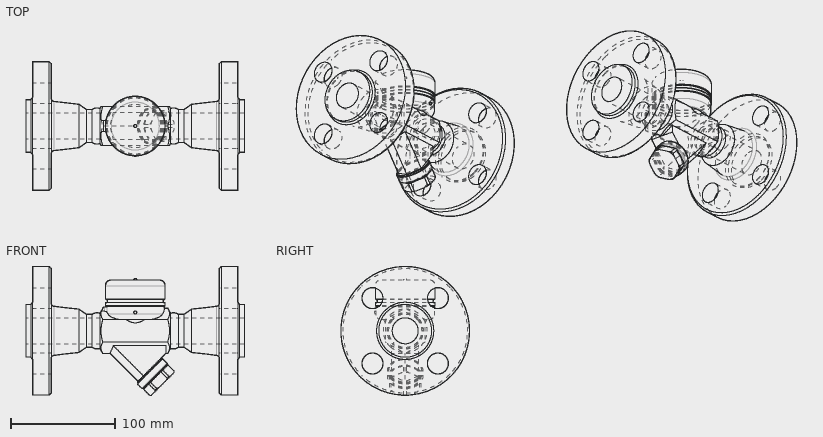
import cadquery as cq
import math

length = 210.0
end_x = length / 2
raised_face_diameter = 50.8
raised_face_height = 4.6
raised_root_diameter = 55.0
flange_diameter = 124.0
flange_outer_x = 98.7
flange_inner_x = 80.6
flange_chamfer = 2.0
hub_fillet = 2.7
hub_large_diameter = 47.5
hub_small_diameter = 42.0
hub_small_x = 54.2
pipe_diameter = 32.0
pipe_outer_x = 46.8
weld_peak_diameter = 34.9
weld_end_diameter = 34.0
weld_outer_x = 41.4
bore_diameter = 25.0
bolt_hole_diameter = 20.0
bolt_circle_diameter = 88.8
bolt_hole_count = 4
first_bolt_angle = 45.0

block_flats = 37.8
block_half_length = 34.0
block_end_radius = weld_end_diameter / 2
block_chamfer_angle = 30.0

cup_diameter = 56.0
cup_top_z = 23.5
cup_bottom_z = 10.7
cup_fillet = 5.2
tail_top_radius = 20.8
tail_bottom_radius = 17.8
tail_bottom_z = 5.9
pad_width = 10.5
pad_top_z = 22.9
pad_fillet = 2.5
dot_diameter = 3.0
side_dot_z = 17.6

cover_diameter = 57.5
cover_top_z = 49.0
cover_fillet = 5.7
cover_edge_chamfer = 0.6
cover_lip_z = 27.0
groove_root_z = 28.8
groove_root_radius = 26.9
groove_top_z = 30.0
groove_mouth_radius = 27.7

branch_angle = 45.0
branch_axis_x = -24.8
branch_length = 53.8
branch_flats = 26.0
branch_wall_x = 29.6
gasket_diameter = 32.0
gasket_thickness = 1.3
collar_diameter = 34.5
collar_thickness = 6.7
collar_fillet = 0.6
neck_diameter = 29.5
neck_thickness = 1.0
plug_flats = 30.0
plug_turned_diameter = 33.2
plug_hex_height = 9.5
plug_chamfer = 0.8

HEX_CORNER = 1 / math.cos(math.radians(30))


def make_connection():
    """Solid flange, welding neck, pipe and weld bead on the -X side."""
    hub_start_x = flange_inner_x - hub_fillet
    fillet_bow = hub_fillet * (1 - math.sqrt(0.5))
    hub_radius = hub_large_diameter / 2
    weld_mid_x = (weld_outer_x + block_half_length) / 2
    profile = (
        cq.Workplane("XY")
        .moveTo(-end_x, 0)
        .lineTo(-end_x, raised_face_diameter / 2)
        .lineTo(-end_x + raised_face_height, raised_face_diameter / 2)
        .lineTo(-flange_outer_x, raised_root_diameter / 2)
        .lineTo(-flange_outer_x, flange_diameter / 2)
        .lineTo(-flange_inner_x - flange_chamfer, flange_diameter / 2)
        .lineTo(-flange_inner_x, flange_diameter / 2 - flange_chamfer)
        .lineTo(-flange_inner_x, hub_radius + hub_fillet)
        .threePointArc(
            (-flange_inner_x + fillet_bow, hub_radius + fillet_bow),
            (-hub_start_x, hub_radius),
        )
        .lineTo(-hub_small_x, hub_small_diameter / 2)
        .lineTo(-pipe_outer_x, pipe_diameter / 2)
        .lineTo(-weld_outer_x, pipe_diameter / 2)
        .threePointArc(
            (-weld_mid_x, weld_peak_diameter / 2),
            (-block_half_length, weld_end_diameter / 2),
        )
        .lineTo(-block_half_length, 0)
        .close()
    )
    connection = profile.revolve(360, (0, 0, 0), (1, 0, 0))
    bolt_holes = (
        cq.Workplane("YZ", origin=(-end_x, 0, 0))
        .polarArray(bolt_circle_diameter / 2, first_bolt_angle, 360, bolt_hole_count)
        .circle(bolt_hole_diameter / 2)
        .extrude(end_x)
    )
    bore = (
        cq.Workplane("YZ", origin=(-end_x, 0, 0))
        .circle(bore_diameter / 2)
        .extrude(end_x - block_half_length)
    )
    return connection.cut(bolt_holes).cut(bore)


def make_block():
    """Hexagonal block with its pad, both turned to a chamfer at each end."""
    block = (
        cq.Workplane("YZ", origin=(-block_half_length, 0, 0))
        .polygon(6, block_flats * HEX_CORNER)
        .extrude(2 * block_half_length)
        .rotate((0, 0, 0), (1, 0, 0), 90)
    )
    pad = cq.Workplane("XY").box(
        block_half_length, pad_width, pad_top_z, centered=(False, True, False)
    ).translate((-block_half_length, 0, 0))
    clear_radius = block_flats
    chamfer_rise = clear_radius - block_end_radius
    chamfer_run = chamfer_rise * math.tan(math.radians(block_chamfer_angle))
    turned = (
        cq.Workplane("XY")
        .moveTo(-block_half_length, 0)
        .lineTo(-block_half_length, block_end_radius)
        .lineTo(-block_half_length + chamfer_run, clear_radius)
        .lineTo(block_half_length - chamfer_run, clear_radius)
        .lineTo(block_half_length, block_end_radius)
        .lineTo(block_half_length, 0)
        .close()
        .revolve(360, (0, 0, 0), (1, 0, 0))
    )
    return block.union(pad).intersect(turned)


def make_cup():
    """Round cup that carries the cover, tapering into the block below it."""
    radius = cup_diameter / 2
    fillet_bow = cup_fillet * (1 - math.sqrt(0.5))
    return (
        cq.Workplane("XZ")
        .moveTo(0, cup_top_z)
        .lineTo(radius, cup_top_z)
        .lineTo(radius, cup_bottom_z + cup_fillet)
        .threePointArc(
            (radius - fillet_bow, cup_bottom_z + fillet_bow),
            (radius - cup_fillet, cup_bottom_z),
        )
        .lineTo(tail_top_radius, cup_bottom_z)
        .lineTo(tail_bottom_radius, tail_bottom_z)
        .lineTo(0, tail_bottom_z)
        .close()
        .revolve(360, (0, 0, 0), (0, 1, 0))
    )


def fillet_pad(block_and_cup):
    """Round the two upright inner corners between the pad and the cup."""
    cup_radius = cup_diameter / 2
    corner_x = -math.sqrt(cup_radius**2 - (pad_width / 2) ** 2)
    search_margin = pad_fillet / 2
    corners = cq.selectors.BoxSelector(
        (corner_x - search_margin, -pad_width, block_flats / 2),
        (corner_x + search_margin, pad_width, pad_top_z),
    )
    return block_and_cup.edges(corners).edges("|Z").fillet(pad_fillet)


def branch_plane(distance):
    """Plane across the branch axis: local X points up the slope, local Y along world Y."""
    angle = math.radians(branch_angle)
    return cq.Plane(
        origin=(branch_axis_x + distance * math.cos(angle), 0, -distance * math.sin(angle)),
        xDir=(math.sin(angle), 0, math.cos(angle)),
        normal=(math.cos(angle), 0, -math.sin(angle)),
    )


def make_branch():
    """Strainer branch: half-hexagon underside, straight sides up into the block."""
    half_flats = branch_flats / 2
    corner = half_flats * HEX_CORNER
    prism = (
        cq.Workplane(branch_plane(0))
        .polyline([
            (-corner, 0),
            (-corner / 2, half_flats),
            (block_half_length, half_flats),
            (block_half_length, -half_flats),
            (-corner / 2, -half_flats),
        ])
        .close()
        .extrude(branch_length)
    )
    envelope = cq.Workplane("XY").box(
        block_half_length + branch_wall_x, block_flats, end_x, centered=(False, True, False)
    ).translate((-block_half_length, 0, -end_x))
    return prism.intersect(envelope)


def make_plug():
    """Gasket, round collar, neck and hexagon head on the end of the branch."""
    gasket = (
        cq.Workplane(branch_plane(branch_length))
        .circle(gasket_diameter / 2)
        .extrude(gasket_thickness)
    )
    collar_start = branch_length + gasket_thickness
    collar = (
        cq.Workplane(branch_plane(collar_start))
        .circle(collar_diameter / 2)
        .extrude(collar_thickness)
        .faces(">X")
        .edges()
        .fillet(collar_fillet)
    )
    neck_start = collar_start + collar_thickness
    neck = cq.Workplane(branch_plane(neck_start)).circle(neck_diameter / 2).extrude(neck_thickness)
    head_plane = branch_plane(neck_start + neck_thickness)
    turned = (
        cq.Workplane(head_plane)
        .circle(plug_turned_diameter / 2)
        .extrude(plug_hex_height)
        .faces(cq.selectors.DirectionMinMaxSelector(head_plane.zDir))
        .edges()
        .chamfer(plug_chamfer)
    )
    head = (
        cq.Workplane(head_plane)
        .polygon(6, plug_flats * HEX_CORNER)
        .extrude(plug_hex_height)
        .intersect(turned)
    )
    return gasket.union(collar).union(neck).union(head)


def make_dot(x, y, z):
    """Small ball centred on a surface, so that half of it stands proud."""
    return cq.Workplane("XY").sphere(dot_diameter / 2).translate((x, y, z))


def make_body():
    """Valve body: block, cup, strainer branch with plug, and both flanged ends."""
    connection = make_connection()
    core = fillet_pad(make_block().union(make_cup()))
    return (
        core
        .union(make_branch())
        .union(make_plug())
        .union(make_dot(0, -cup_diameter / 2, side_dot_z))
        .union(connection)
        .union(connection.mirror("YZ"))
    )


def make_cover():
    """Round cover seated on the cup, with a rounded groove above its rim."""
    radius = cover_diameter / 2
    fillet_bow = cover_fillet * (1 - math.sqrt(0.5))
    return (
        cq.Workplane("XZ")
        .moveTo(0, cup_top_z)
        .lineTo(radius - cover_edge_chamfer, cup_top_z)
        .lineTo(radius, cup_top_z + cover_edge_chamfer)
        .lineTo(radius, cover_lip_z)
        .lineTo(groove_mouth_radius, cover_lip_z)
        .threePointArc((groove_root_radius, groove_root_z), (groove_mouth_radius, groove_top_z))
        .lineTo(radius - cover_edge_chamfer, groove_top_z)
        .lineTo(radius, groove_top_z + cover_edge_chamfer)
        .lineTo(radius, cover_top_z - cover_fillet)
        .threePointArc(
            (radius - fillet_bow, cover_top_z - fillet_bow),
            (radius - cover_fillet, cover_top_z),
        )
        .lineTo(0, cover_top_z)
        .close()
        .revolve(360, (0, 0, 0), (0, 1, 0))
        .union(make_dot(0, 0, cover_top_z))
    )


body = make_body()
cover = make_cover()
result = cq.Compound.makeCompound([body.val(), cover.val()])